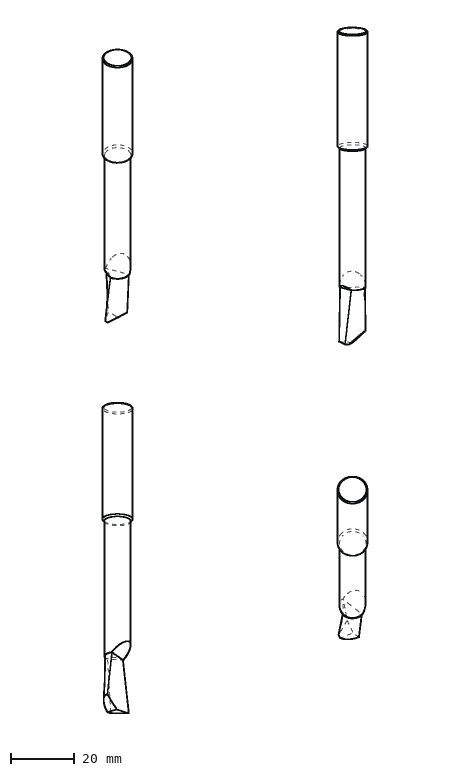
import cadquery as cq
import math

total_length = 101.6
shank_bottom = 63.5
blade_length = 18.2

shank_radius = 4.8
top_chamfer = 0.4
shoulder_chamfer = 0.6
neck_radius = 4.2

blade_root_radius = 4.0
blade_tip_radius = 4.6
root_rake_angle = 26.0
tip_rake_angle = 0.0
relief_span = 80.0

end_relief_x_angle = 3.0
end_relief_y_angle = 4.0
back_bevel_start = 0.3
back_bevel_angle = 45.0

cutter_size = 4 * shank_radius


def polar(radius, angle):
    turn = math.radians(angle)
    return radius * math.cos(turn), radius * math.sin(turn)


def make_shank():
    shank = cq.Workplane("XY").workplane(offset=shank_bottom)
    shank = shank.circle(shank_radius).extrude(total_length - shank_bottom)
    return shank.faces(">Z").chamfer(top_chamfer).faces("<Z").chamfer(shoulder_chamfer)


def runout_cutter(distance, normal_angle):
    """45 degree wedge rising outward from a flat at the given distance from the axis."""
    wedge = (
        cq.Workplane("XZ", origin=(0, 0, blade_length))
        .moveTo(distance, 0)
        .line(cutter_size, 0)
        .line(0, cutter_size)
        .close()
        .extrude(cutter_size, both=True)
    )
    return wedge.rotate((0, 0, 0), (0, 0, 1), normal_angle)


def make_neck():
    neck = cq.Workplane("XY").workplane(offset=blade_length)
    neck = neck.circle(neck_radius).extrude(shank_bottom - blade_length)
    flat_distance = blade_root_radius * math.cos(math.radians(relief_span / 2))
    relief_normal = root_rake_angle + 180 + relief_span / 2
    neck = neck.cut(runout_cutter(0, root_rake_angle + 90))
    return neck.cut(runout_cutter(flat_distance, relief_normal))


def blade_section(z, radius, rake_angle):
    cutting_angle = rake_angle + 180
    heel_angle = cutting_angle + relief_span
    back_angle = rake_angle + 360
    return (
        cq.Workplane("XY", origin=(0, 0, z))
        .moveTo(*polar(radius, cutting_angle))
        .lineTo(*polar(radius, heel_angle))
        .threePointArc(polar(radius, (heel_angle + back_angle) / 2), polar(radius, back_angle))
        .close()
        .val()
    )


def end_cutter():
    """Block below the end face, which rises from the cutting corner toward +X and -Y."""
    corner = (*polar(blade_tip_radius, tip_rake_angle + 180), 0)
    block = cq.Workplane("XY").box(cutter_size, cutter_size, cutter_size, centered=(True, True, False))
    block = block.translate((0, 0, -cutter_size))
    block = block.rotate((0, 0, 0), (0, 1, 0), -end_relief_x_angle)
    return block.rotate((0, 0, 0), (1, 0, 0), -end_relief_y_angle).translate(corner)


def back_bevel_cutter():
    rise = cutter_size * math.tan(math.radians(back_bevel_angle))
    return (
        cq.Workplane("XZ", origin=(back_bevel_start, 0, back_bevel_start))
        .moveTo(-cutter_size, -rise)
        .lineTo(cutter_size, -rise)
        .lineTo(cutter_size, rise)
        .close()
        .extrude(cutter_size, both=True)
    )


def make_blade():
    tip = blade_section(0, blade_tip_radius, tip_rake_angle)
    root = blade_section(blade_length, blade_root_radius, root_rake_angle)
    blade = cq.Workplane(cq.Solid.makeLoft([tip, root], True))
    return blade.cut(end_cutter()).cut(back_bevel_cutter())


result = make_shank().union(make_neck()).union(make_blade())